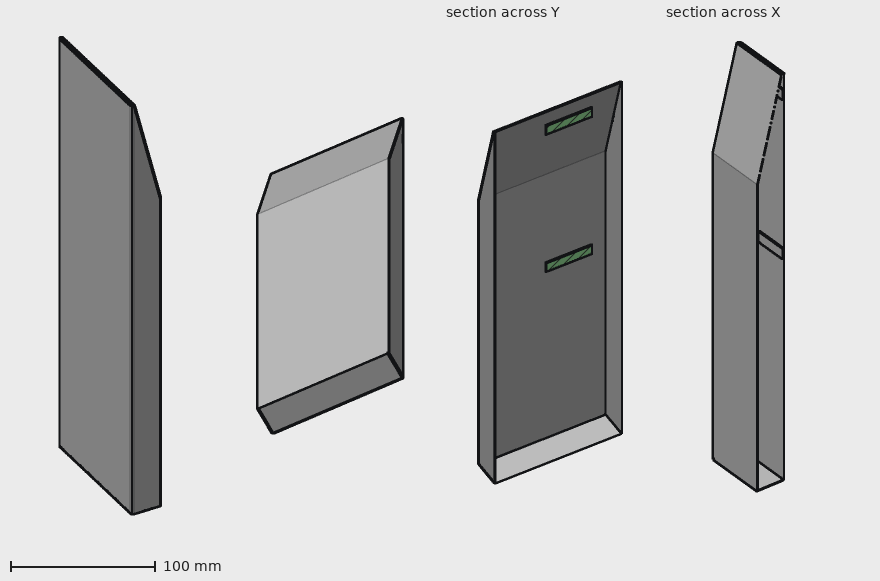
import cadquery as cq
import math

WIDTH = 102.0
DEPTH = 24.0
HEIGHT = 335.7

SHEET = 1.0
BEND_RADIUS = 2 * SHEET
TOP_DEPTH = 3.0
SLOPE_START = 253.5
COVER_INSET = 0.17

STRIP_LEFT = -9.7
STRIP_RIGHT = 27.0
STRIP_HEIGHT = 8.7
STRIP_BOTTOMS = (183.3, 314.5)

slope_angle = math.atan2(DEPTH - TOP_DEPTH, HEIGHT - SLOPE_START)


def side_profile(back_inset, bottom_inset, front_inset):
    """Wedge outline in the YZ plane, with each side moved inward."""
    back = DEPTH - back_inset
    kink = SLOPE_START - back_inset * math.tan(slope_angle / 2)
    top_back = back - (HEIGHT - kink) * math.tan(slope_angle)
    return [
        (front_inset, bottom_inset),
        (back, bottom_inset),
        (back, kink),
        (top_back, HEIGHT),
        (front_inset, HEIGHT),
    ]


def wedge(width, back_inset=0, bottom_inset=0, front_inset=0):
    """Prism of the given width, centred on X = 0."""
    outline = cq.Workplane("YZ").polyline(side_profile(back_inset, bottom_inset, front_inset)).close()
    return outline.extrude(width).translate((-width / 2, 0, 0))


def block(x_range, y_range, z_range):
    """Box between two limits along each axis."""
    sizes = [high - low for low, high in (x_range, y_range, z_range)]
    corner = (x_range[0], y_range[0], z_range[0])
    return cq.Workplane("XY").box(*sizes, centered=False).translate(corner)


outer = wedge(WIDTH)
outer = outer.faces("<Y").edges("|Z or <Z").fillet(BEND_RADIUS)

side_walls = wedge(WIDTH, back_inset=SHEET)
cover_span = wedge(WIDTH - 2 * COVER_INSET)
shell = outer.intersect(side_walls.union(cover_span))

for left in (-WIDTH / 2, WIDTH / 2 - SHEET):
    shell = shell.cut(block((left, left + SHEET), (0, DEPTH), (0, SHEET)))

cavity = wedge(WIDTH - 2 * SHEET, back_inset=SHEET, bottom_inset=SHEET, front_inset=SHEET)

for bottom in STRIP_BOTTOMS:
    strip = block((STRIP_LEFT, STRIP_RIGHT), (0, 2 * SHEET), (bottom, bottom + STRIP_HEIGHT))
    cavity = cavity.cut(strip)

result = shell.cut(cavity)